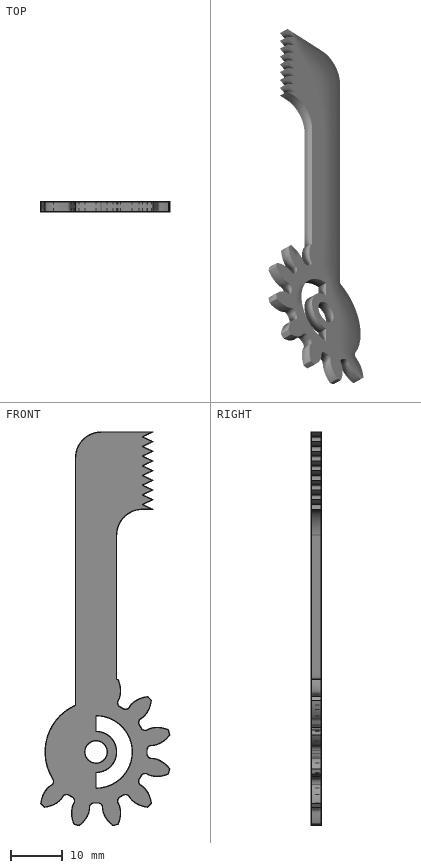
import cadquery as cq
import math

THICKNESS = 2.0

TOOTH_PITCH_ANGLE = 30.0
FIRST_TOOTH_ANGLE = -135.0
TOOTH_COUNT = 8
ROOT_RADIUS = 9.9
TIP_RADIUS = 14.65
TIP_HALF_WIDTH = 0.52
NECK_HALF_WIDTH = 1.55
BELLY_RADIUS = 11.75
BELLY_HALF_WIDTH = 1.69
SHOULDER_RADIUS = 13.2
SHOULDER_HALF_WIDTH = 1.36
ROOT_FILLET = 0.9
TOOTH_BASE_RADIUS = 8.5

BORE_DIAMETER = 4.3
SLOT_INNER_RADIUS = 4.0
SLOT_OUTER_RADIUS = 7.0

ARM_HALF_WIDTH = 4.0
ARM_TOP = 62.0
HEAD_HEIGHT = 15.0
HEAD_BOTTOM = ARM_TOP - HEAD_HEIGHT
CORNER_RADIUS = 5.0
SERRATION_COUNT = 8
SERRATION_PITCH = HEAD_HEIGHT / SERRATION_COUNT
SERRATION_DEPTH = 2.0
SERRATION_ROOT_X = ARM_HALF_WIDTH + CORNER_RADIUS
SERRATION_TIP_X = SERRATION_ROOT_X + SERRATION_DEPTH


def front_plane():
    """Sketch plane with X right and Z up, on the rear (+Y) face of the plate."""
    return cq.Workplane("XZ", origin=(0, THICKNESS / 2, 0))


def extrude_plate(outline):
    return outline.extrude(THICKNESS)


def mirrored(points):
    """The same points on the other side of the tooth, in reverse order."""
    return [(x, -z) for x, z in reversed(points)]


def make_tooth(angle):
    """One tooth with its root fillets, built along +X and turned to its angle."""
    fillet_center_z = NECK_HALF_WIDTH + ROOT_FILLET
    fillet_center_radius = ROOT_RADIUS + ROOT_FILLET
    fillet_angle = math.asin(fillet_center_z / fillet_center_radius)
    neck_x = fillet_center_radius * math.cos(fillet_angle)

    fillet_middle_angle = (math.pi * 3 / 2 + math.pi + fillet_angle) / 2
    fillet = [
        (ROOT_RADIUS * math.cos(fillet_angle), ROOT_RADIUS * math.sin(fillet_angle)),
        (
            neck_x + ROOT_FILLET * math.cos(fillet_middle_angle),
            fillet_center_z + ROOT_FILLET * math.sin(fillet_middle_angle),
        ),
        (neck_x, NECK_HALF_WIDTH),
    ]
    flank = [
        (neck_x, NECK_HALF_WIDTH),
        (BELLY_RADIUS, BELLY_HALF_WIDTH),
        (SHOULDER_RADIUS, SHOULDER_HALF_WIDTH),
        (math.sqrt(TIP_RADIUS**2 - TIP_HALF_WIDTH**2), TIP_HALF_WIDTH),
    ]
    lower_flank = mirrored(flank)
    lower_fillet = mirrored(fillet)
    outline = (
        front_plane()
        .moveTo(TOOTH_BASE_RADIUS, 0)
        .lineTo(*fillet[0])
        .threePointArc(*fillet[1:])
        .spline(flank[1:], includeCurrent=True)
        .threePointArc((TIP_RADIUS, 0), lower_flank[0])
        .spline(lower_flank[1:], includeCurrent=True)
        .threePointArc(*lower_fillet[1:])
        .close()
    )
    return extrude_plate(outline).rotate((0, 0, 0), (0, -1, 0), angle)


def make_gear():
    gear = extrude_plate(front_plane().circle(ROOT_RADIUS))
    for index in range(TOOTH_COUNT):
        gear = gear.union(make_tooth(FIRST_TOOTH_ANGLE + index * TOOTH_PITCH_ANGLE))
    return gear


def make_arm():
    """Straight arm ending in a wider head with a serrated right edge."""
    corner_middle = CORNER_RADIUS * math.sqrt(0.5)
    outline = (
        front_plane()
        .moveTo(-ARM_HALF_WIDTH, 0)
        .lineTo(-ARM_HALF_WIDTH, ARM_TOP - CORNER_RADIUS)
        .threePointArc(
            (
                -ARM_HALF_WIDTH + CORNER_RADIUS - corner_middle,
                ARM_TOP - CORNER_RADIUS + corner_middle,
            ),
            (-ARM_HALF_WIDTH + CORNER_RADIUS, ARM_TOP),
        )
        .lineTo(SERRATION_TIP_X, ARM_TOP)
    )
    for index in range(SERRATION_COUNT):
        tip_z = ARM_TOP - index * SERRATION_PITCH
        outline = outline.lineTo(SERRATION_ROOT_X, tip_z - SERRATION_PITCH / 2)
        outline = outline.lineTo(SERRATION_TIP_X, tip_z - SERRATION_PITCH)
    outline = (
        outline.lineTo(ARM_HALF_WIDTH + CORNER_RADIUS, HEAD_BOTTOM)
        .threePointArc(
            (
                ARM_HALF_WIDTH + CORNER_RADIUS - corner_middle,
                HEAD_BOTTOM - CORNER_RADIUS + corner_middle,
            ),
            (ARM_HALF_WIDTH, HEAD_BOTTOM - CORNER_RADIUS),
        )
        .lineTo(ARM_HALF_WIDTH, 0)
        .close()
    )
    return extrude_plate(outline)


def make_bore():
    return extrude_plate(front_plane().circle(BORE_DIAMETER / 2))


def make_half_ring_slot():
    """Half-ring window on the +X side of the bore."""
    outline = (
        front_plane()
        .moveTo(0, SLOT_INNER_RADIUS)
        .lineTo(0, SLOT_OUTER_RADIUS)
        .threePointArc((SLOT_OUTER_RADIUS, 0), (0, -SLOT_OUTER_RADIUS))
        .lineTo(0, -SLOT_INNER_RADIUS)
        .threePointArc((SLOT_INNER_RADIUS, 0), (0, SLOT_INNER_RADIUS))
        .close()
    )
    return extrude_plate(outline)


result = make_gear().union(make_arm()).cut(make_bore()).cut(make_half_ring_slot())